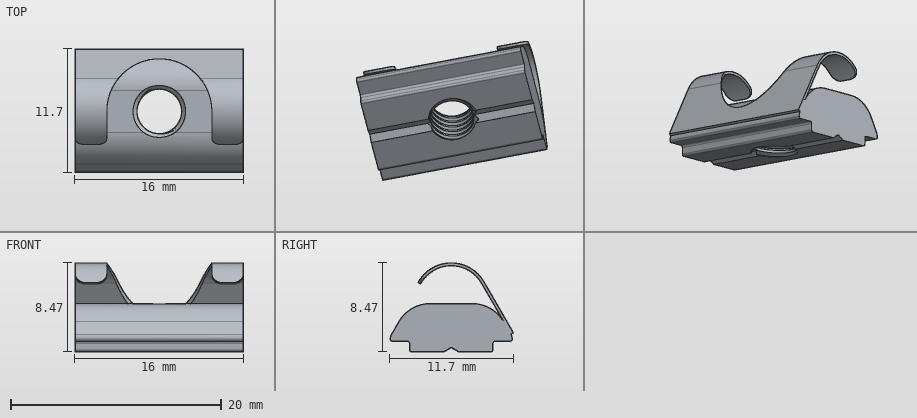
import cadquery as cq
import math

LENGTH = 16.0
NUT_HEIGHT = 4.6
TOTAL_HEIGHT = 8.47

NUT_HALF_WIDTH = 5.81
FLAT_HALF_WIDTH = 2.0
SHOULDER_RADIUS = 3.45
SLOPE_ANGLE = math.radians(60)
FOOT_HALF_WIDTH = 3.97
FOOT_HEIGHT = 1.0
EDGE_RADIUS = 0.2
FLANK_EDGE_RADIUS = 0.92
NOTCH_DEPTH = 0.4
NOTCH_HALF_WIDTH = NOTCH_DEPTH * math.sqrt(3)

BORE_DIAMETER = 4.23
THREAD_ROOT_DIAMETER = 5.12
THREAD_PITCH = 0.8
THREAD_CREST_WIDTH = 0.255
THREAD_FLANK_ANGLE = math.radians(30)
THREAD_START_Z = -0.65
GROOVE_OVERLAP = 0.02
COUNTERSINK_DIAMETER = 5.0
COUNTERSINK_DEPTH = (COUNTERSINK_DIAMETER - BORE_DIAMETER) / 2
COUNTERSINK_BOTTOM_Z = NUT_HEIGHT - COUNTERSINK_DEPTH

SHEET_THICKNESS = 0.28
BEND_RADIUS = 3.6
LEG_END_Y = 5.92
TIP_ANGLE = math.radians(61.5)
TIP_CORNER_RADIUS = 1.0
WINDOW_RADIUS = 5.0


def make_nut():
    """Extruded slot nut body, with rounded edges along its length."""
    slope_y = FLAT_HALF_WIDTH + SHOULDER_RADIUS * math.sin(SLOPE_ANGLE)
    slope_z = NUT_HEIGHT - SHOULDER_RADIUS * (1 - math.cos(SLOPE_ANGLE))
    mid_y = FLAT_HALF_WIDTH + SHOULDER_RADIUS * math.sin(SLOPE_ANGLE / 2)
    mid_z = NUT_HEIGHT - SHOULDER_RADIUS * (1 - math.cos(SLOPE_ANGLE / 2))
    flank_z = slope_z - (NUT_HALF_WIDTH - slope_y) * math.tan(SLOPE_ANGLE)

    half = (
        cq.Workplane("YZ", origin=(-LENGTH / 2, 0, 0))
        .moveTo(0, NOTCH_DEPTH)
        .lineTo(NOTCH_HALF_WIDTH, 0)
        .lineTo(FOOT_HALF_WIDTH, 0)
        .lineTo(FOOT_HALF_WIDTH, FOOT_HEIGHT)
        .lineTo(NUT_HALF_WIDTH, FOOT_HEIGHT)
        .lineTo(NUT_HALF_WIDTH, flank_z)
        .lineTo(slope_y, slope_z)
        .threePointArc((mid_y, mid_z), (FLAT_HALF_WIDTH, NUT_HEIGHT))
        .lineTo(0, NUT_HEIGHT)
        .close()
        .extrude(LENGTH)
    )

    def edge_at(y, z):
        return cq.selectors.NearestToPointSelector((0, y, z))

    half = half.edges(edge_at(NUT_HALF_WIDTH, flank_z)).fillet(FLANK_EDGE_RADIUS)
    small_edges = (
        (FOOT_HALF_WIDTH, 0),
        (FOOT_HALF_WIDTH, FOOT_HEIGHT),
        (NUT_HALF_WIDTH, FOOT_HEIGHT),
    )
    for y, z in small_edges:
        half = half.edges(edge_at(y, z)).fillet(EDGE_RADIUS)
    return half.union(half.mirror("XZ")).clean()


def make_clip():
    """Bent spring sheet: a straight leg, then a bend to a free end, cut into two tabs."""
    inner_radius = BEND_RADIUS - SHEET_THICKNESS
    center_z = TOTAL_HEIGHT - BEND_RADIUS

    def on_bend(radius, angle):
        return (radius * math.sin(angle), center_z + radius * math.cos(angle))

    bend_outer = on_bend(BEND_RADIUS, SLOPE_ANGLE)
    bend_inner = on_bend(inner_radius, SLOPE_ANGLE)
    leg_end_z = bend_outer[1] - (LEG_END_Y - bend_outer[0]) * math.tan(SLOPE_ANGLE)
    leg_inner_y = LEG_END_Y - SHEET_THICKNESS * math.sin(SLOPE_ANGLE)
    leg_inner_z = leg_end_z - SHEET_THICKNESS * math.cos(SLOPE_ANGLE)

    sheet = (
        cq.Workplane("YZ", origin=(-LENGTH / 2, 0, 0))
        .moveTo(LEG_END_Y, leg_end_z)
        .lineTo(*bend_outer)
        .threePointArc((0, TOTAL_HEIGHT), on_bend(BEND_RADIUS, -TIP_ANGLE))
        .lineTo(*on_bend(inner_radius, -TIP_ANGLE))
        .threePointArc((0, center_z + inner_radius), bend_inner)
        .lineTo(leg_inner_y, leg_inner_z)
        .close()
        .extrude(LENGTH)
    )

    window = (
        cq.Workplane("XY")
        .moveTo(-WINDOW_RADIUS, -WINDOW_RADIUS)
        .lineTo(-WINDOW_RADIUS, 0)
        .threePointArc((0, WINDOW_RADIUS), (WINDOW_RADIUS, 0))
        .lineTo(WINDOW_RADIUS, -WINDOW_RADIUS)
        .close()
        .extrude(TOTAL_HEIGHT)
    )
    clip = sheet.cut(window)

    tip_y, tip_z = on_bend(BEND_RADIUS - SHEET_THICKNESS / 2, -TIP_ANGLE)
    for x in (-LENGTH / 2, -WINDOW_RADIUS, WINDOW_RADIUS, LENGTH / 2):
        corner = cq.selectors.NearestToPointSelector((x, tip_y, tip_z))
        clip = clip.edges(corner).fillet(TIP_CORNER_RADIUS)
    return clip


def make_hole():
    """Through bore with a countersink at the top."""
    bore_radius = BORE_DIAMETER / 2
    return (
        cq.Workplane("XZ")
        .lineTo(bore_radius, 0)
        .lineTo(bore_radius, COUNTERSINK_BOTTOM_Z)
        .lineTo(COUNTERSINK_DIAMETER / 2, NUT_HEIGHT)
        .lineTo(0, NUT_HEIGHT)
        .close()
        .revolve(360, (0, 0, 0), (0, 1, 0))
    )


def make_thread_groove():
    """Right-hand helical groove through the nut, ending flat at the countersink bottom."""
    bore_radius = BORE_DIAMETER / 2
    root_radius = THREAD_ROOT_DIAMETER / 2
    inner_radius = bore_radius - GROOVE_OVERLAP
    flank_slope = math.tan(THREAD_FLANK_ANGLE)
    mouth_half = (THREAD_PITCH - THREAD_CREST_WIDTH) / 2
    root_half = mouth_half - (root_radius - bore_radius) * flank_slope
    inner_half = mouth_half + GROOVE_OVERLAP * flank_slope

    helix_height = NUT_HEIGHT + THREAD_PITCH - THREAD_START_Z
    helix = cq.Wire.makeHelix(THREAD_PITCH, helix_height, bore_radius)
    groove = (
        cq.Workplane("XZ")
        .moveTo(inner_radius, -inner_half)
        .lineTo(root_radius, -root_half)
        .lineTo(root_radius, root_half)
        .lineTo(inner_radius, inner_half)
        .close()
        .sweep(cq.Workplane(obj=helix), isFrenet=True)
        .translate((0, 0, THREAD_START_Z))
    )
    threaded_depth = (
        cq.Workplane("XY", origin=(0, 0, -THREAD_PITCH))
        .circle(THREAD_ROOT_DIAMETER)
        .extrude(COUNTERSINK_BOTTOM_Z + THREAD_PITCH)
    )
    return groove.intersect(threaded_depth)


result = make_nut().union(make_clip()).cut(make_hole()).cut(make_thread_groove())